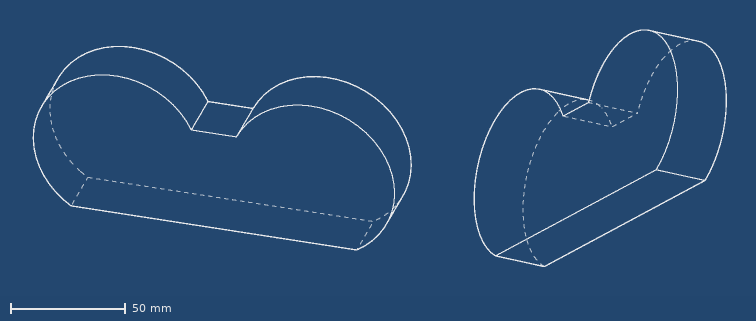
import cadquery as cq

length = 165.0
height = 69.8
thickness = 25.5
lobe_radius = 38.0
saddle_rise = 16.3

lobe_offset = length / 2 - lobe_radius
base_z = lobe_radius - height


def block(width, bottom, top):
    """Box centred on X and Y, spanning bottom to top in Z."""
    return cq.Workplane("XY").workplane(offset=bottom).rect(width, thickness).extrude(top - bottom)


lobes = (
    cq.Workplane("XZ")
    .pushPoints([(-lobe_offset, 0), (lobe_offset, 0)])
    .circle(lobe_radius)
    .extrude(thickness / 2, both=True)
)

web = block(2 * lobe_offset, base_z, saddle_rise)

envelope = block(length, base_z, lobe_radius)

result = lobes.union(web).intersect(envelope).clean()